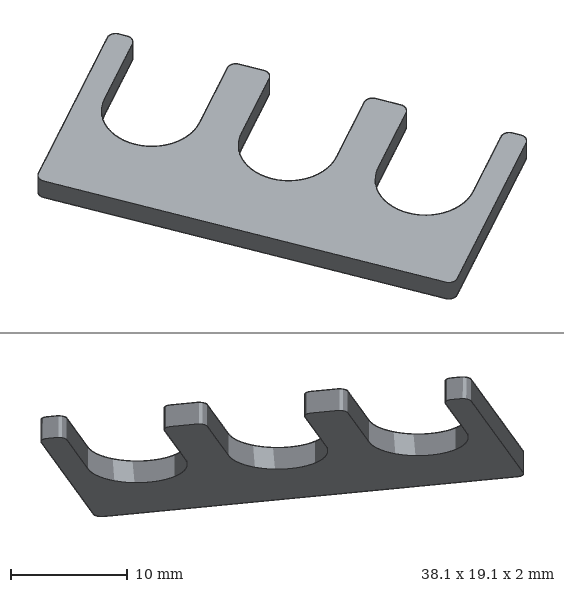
import cadquery as cq

plate_length = 38.1
plate_width = 19.05
plate_thickness = 2.0
corner_radius = 0.762

slot_count = 3
slot_width = 8.636
slot_depth = 12.192
inner_prong_width = 3.81
slot_pitch = slot_width + inner_prong_width


def make_plate():
    """Flat plate with its bottom face on Z = 0, centred in X and Y."""
    return cq.Workplane("XY").box(
        plate_length, plate_width, plate_thickness, centered=(True, True, False)
    )


def make_slot(center_x):
    """Cutter for one slot: straight sides open at the +Y edge, full-round closed end."""
    slot_radius = slot_width / 2
    open_y = plate_width / 2
    closed_y = open_y - slot_depth
    arc_start_y = closed_y + slot_radius
    return (
        cq.Workplane("XY")
        .moveTo(center_x - slot_radius, open_y)
        .lineTo(center_x - slot_radius, arc_start_y)
        .threePointArc((center_x, closed_y), (center_x + slot_radius, arc_start_y))
        .lineTo(center_x + slot_radius, open_y)
        .close()
        .extrude(plate_thickness)
    )


def round_corners(body):
    """Round the upright edges at the plate corners and prong tips."""
    prong_tips = body.faces(">Y").edges("|Z")
    solid_side_corners = body.faces("<Y").edges("|Z")
    return body.newObject(prong_tips.vals() + solid_side_corners.vals()).fillet(corner_radius)


body = make_plate()
for slot_index in range(slot_count):
    slot_x = (slot_index - (slot_count - 1) / 2) * slot_pitch
    body = body.cut(make_slot(slot_x))

result = round_corners(body)